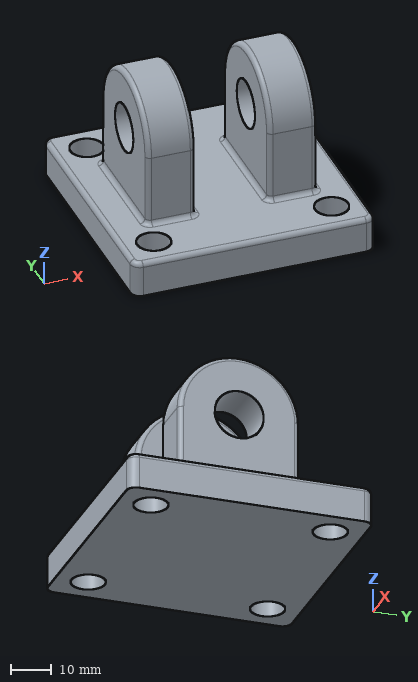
import cadquery as cq

plate_side = 63.5
plate_height = 9.5
plate_corner_radius = 2.55
edge_radius = 1.3

mount_spacing = 46.6
mount_diameter = 8.65

total_height = 44.3
lug_thickness = 12.7
lug_spacing = 31.9
lug_radius = 15.7
foot_radius = 1.3
pin_diameter = 12.7
pin_height = total_height - lug_radius


def make_plate():
    """Square plate with rounded corners and a rounded top rim."""
    plate = cq.Workplane("XY").box(plate_side, plate_side, plate_height, centered=(True, True, False))
    plate = plate.edges("|Z").fillet(plate_corner_radius)
    return plate.faces(">Z").edges().fillet(edge_radius)


def make_lug(center_x):
    """Upright round-topped lug with the outline of both faces rounded."""
    lug = (
        cq.Workplane("YZ", origin=(center_x - lug_thickness / 2, 0, 0))
        .moveTo(-lug_radius, 0)
        .lineTo(-lug_radius, pin_height)
        .threePointArc((0, total_height), (lug_radius, pin_height))
        .lineTo(lug_radius, 0)
        .close()
        .extrude(lug_thickness)
    )
    return lug.faces("<X or >X").edges("not <Z").fillet(edge_radius)


body = make_plate()
for side in (-1, 1):
    body = body.union(make_lug(side * lug_spacing / 2))

foot_half_length = lug_radius + foot_radius
foot_half_width = lug_spacing / 2 + lug_thickness / 2 + foot_radius
foot_zone = cq.selectors.BoxSelector(
    (-foot_half_width, -foot_half_length, plate_height - foot_radius / 2),
    (foot_half_width, foot_half_length, plate_height + foot_radius / 2),
)
body = body.edges(foot_zone).fillet(foot_radius)

pin_bore = (
    cq.Workplane("YZ", origin=(-plate_side / 2, 0, pin_height))
    .circle(pin_diameter / 2)
    .extrude(plate_side)
)

mount_holes = (
    cq.Workplane("XY")
    .rect(mount_spacing, mount_spacing, forConstruction=True)
    .vertices()
    .circle(mount_diameter / 2)
    .extrude(plate_height)
)

result = body.cut(pin_bore).cut(mount_holes)